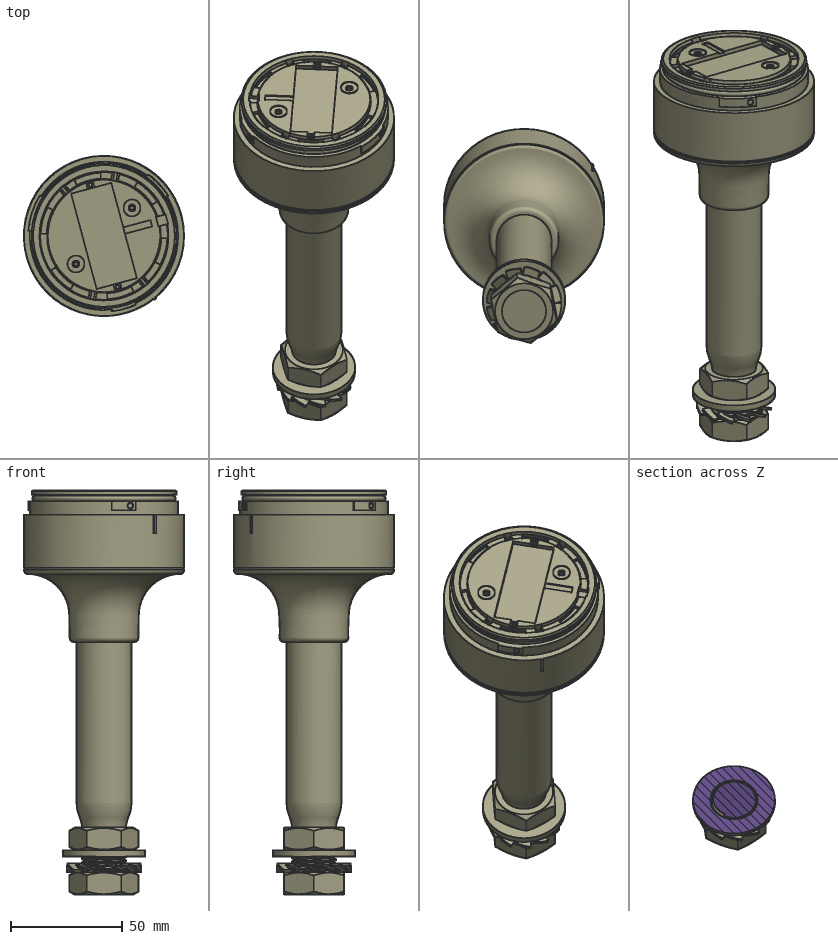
import cadquery as cq
import math


NUT_HEIGHT = 10.2
UPPER_NUT_BASE = 20.0
WASHER_THICKNESS = 2.9
WASHER_BASE = UPPER_NUT_BASE - WASHER_THICKNESS
STEM_NECK_TOP = UPPER_NUT_BASE + NUT_HEIGHT
STEM_TAPER_MIDDLE = 35.4
STEM_TAPER_TOP = 41.2
COLLAR_BASE = 113.4
COLLAR_TOP = 125.5
FLARE_TOP = 143.9
SHELL_TOP = 170.6
BAND_TOP = 176.7
BEAD_TOP = 179.0
LIP_BASE = 179.6
LIP_TOP = 181.0
TOTAL_HEIGHT = 181.6

THREAD_DIAMETER = 19.8
THREAD_ROOT_DIAMETER = 17.3
THREAD_PITCH = 1.814
THREAD_GROOVE_WIDTH = 1.67
THREAD_CLEARANCE = 0.1
THREAD_OVERRUN = 1.3
NUT_SIDES = 6
NUT_WIDTH = 27.0
NUT_FACE_DIAMETER = 26.0
NUT_CHAMFER_ANGLE = 30.0
WASHER_DIAMETER = 37.0
WASHER_BORE = 21.0

LOCK_DIAMETER = 33.6
LOCK_RING_DIAMETER = 26.5
LOCK_THICKNESS = 1.0
TOOTH_COUNT = 12
TOOTH_WIDTH = 7.6
TOOTH_TWIST = 24.0
TOOTH_PHASE = 24.0
TOOTH_ROOT_RADIUS = 12.75

STEM_DIAMETER = 24.8
STEM_TAPER_MIDDLE_RADIUS = 11.2
STEM_NECK_RADIUS = THREAD_DIAMETER / 2

SHELL_DIAMETER = 72.0
COLLAR_RADIUS = 15.7
COLLAR_BASE_RADIUS = 15.5
COLLAR_FILLET = 2.0
FLARE_RADIUS = FLARE_TOP - COLLAR_TOP
SHELL_FILLET = 1.8
SEAM_BASE = 145.9
SEAM_WIDTH = 0.9
SEAM_DEPTH = 0.3
BAND_RADIUS = 33.3
NECK_DIAMETER = 62.5
RIM_RADIUS = 31.75
BEAD_RADIUS = 32.2
LIP_DIAMETER = 65.1

RIB_ANGLE = -51.0
RIB_WIDTH = 1.1
RIB_HEIGHT = 0.5
RIB_LENGTH = 8.4

LUG_SPANS = ((32, 54), (147.5, 176), (-84, -65))
LUG_RADIUS = 34.0
LUG_HEIGHT = 4.2
DIMPLE_DIAMETER = 2.6
DIMPLE_DEPTH = 0.4
DIMPLE_INSET_ANGLE = 4.5

PLATE_RADIUS = 25.2
CHANNEL_RADIUS = 29.0
CHANNEL_DEPTH = 1.5
CHANNEL_WALL_SLOPE = 0.4
POCKET_COUNT = 6
POCKET_START = 33.0
POCKET_SPAN = 25.0
POCKET_INNER_RADIUS = 25.8
POCKET_OUTER_RADIUS = 28.4
POCKET_DEPTH = 3.0
CLIP_SPREAD = 25.8
CLIP_WIDTH = 3.2
CLIP_DEPTH = 3.0
CLIP_SLOT_WIDTH = 1.4
CLIP_SLOT_DEPTH = 5.0
KEY_WIDTH = 4.4
KEY_INNER_RADIUS = 24.7
KEY_OUTER_RADIUS = 29.2

DISPLAY_ANGLE = 15.0
DISPLAY_WIDTH = 18.7
DISPLAY_LENGTH = 44.3
DISPLAY_DEPTH = 2.0
SLIT_END = 22.0
SLIT_WIDTH = 3.0
SLIT_DEPTH = 0.6
END_NOTCH_WIDTH = 3.1
END_NOTCH_DEPTH = 1.0
END_SLOT_INNER_RADIUS = 22.9
END_SLOT_OUTER_RADIUS = 24.5
END_SLOT_WIDTH = 1.4
END_SLOT_DEPTH = 3.0
SCREW_RADIUS = 17.8
SCREW_ANGLES = (45, 225)
SCREW_HOLE_DIAMETER = 3.1
SCREW_HOLE_DEPTH = 1.0
SCREW_CORE_DIAMETER = 1.8
SCREW_CORE_DEPTH = 3.0
SCREW_SEAT_DIAMETER = 7.6
SCREW_SEAT_DEPTH = 0.4


def about_z(body, angle):
    return body.rotate((0, 0, 0), (0, 0, 1), angle)


def tube(base, height, outer_radius, inner_radius):
    return cq.Workplane(origin=(0, 0, base)).circle(outer_radius).circle(inner_radius).extrude(height)


def ring_sector(base, height, outer_radius, inner_radius, start_angle, end_angle):
    """A block bounded by two arcs about Z and two radial faces."""
    def at(radius, angle):
        return (radius * math.cos(math.radians(angle)), radius * math.sin(math.radians(angle)))

    middle = (start_angle + end_angle) / 2
    return (
        cq.Workplane(origin=(0, 0, base))
        .moveTo(*at(inner_radius, start_angle))
        .lineTo(*at(outer_radius, start_angle))
        .threePointArc(at(outer_radius, middle), at(outer_radius, end_angle))
        .lineTo(*at(inner_radius, end_angle))
        .threePointArc(at(inner_radius, middle), at(inner_radius, start_angle))
        .close()
        .extrude(height)
    )


def radial_block(inner_radius, outer_radius, width, base, height, angle):
    """A straight block whose length lies along the radius at the given angle."""
    length = outer_radius - inner_radius
    block = cq.Workplane().box(length, width, height, centered=(False, True, False))
    return about_z(block.translate((inner_radius, 0, base)), angle)


def sunk_block(inner_radius, outer_radius, width, depth, angle):
    """A radial block reaching down from the top of the head."""
    return radial_block(inner_radius, outer_radius, width, TOTAL_HEIGHT - depth, depth, angle)


def head_outline():
    shell_radius = SHELL_DIAMETER / 2
    neck_radius = NECK_DIAMETER / 2
    lip_radius = LIP_DIAMETER / 2
    flare_center = COLLAR_RADIUS + FLARE_RADIUS
    flare_middle = FLARE_RADIUS * math.sqrt(0.5)
    profile = (
        cq.Workplane("XZ")
        .moveTo(0, COLLAR_BASE)
        .lineTo(COLLAR_BASE_RADIUS - COLLAR_FILLET, COLLAR_BASE)
        .radiusArc((COLLAR_BASE_RADIUS, COLLAR_BASE + COLLAR_FILLET), -COLLAR_FILLET)
        .lineTo(COLLAR_RADIUS, COLLAR_TOP)
        .threePointArc((flare_center - flare_middle, COLLAR_TOP + flare_middle), (flare_center, FLARE_TOP))
        .lineTo(shell_radius - SHELL_FILLET, FLARE_TOP)
        .radiusArc((shell_radius, FLARE_TOP + SHELL_FILLET), -SHELL_FILLET)
        .lineTo(shell_radius, SHELL_TOP)
        .lineTo(BAND_RADIUS, SHELL_TOP)
        .lineTo(BAND_RADIUS, BAND_TOP)
        .lineTo(neck_radius, BAND_TOP)
        .threePointArc((BEAD_RADIUS, (BAND_TOP + BEAD_TOP) / 2), (neck_radius, BEAD_TOP))
        .lineTo(neck_radius, LIP_BASE)
        .lineTo(lip_radius, LIP_BASE)
        .lineTo(lip_radius, LIP_TOP)
        .lineTo(RIM_RADIUS, TOTAL_HEIGHT)
        .lineTo(0, TOTAL_HEIGHT)
        .close()
    )
    return profile.revolve(360, (0, 0, 0), (0, 1, 0))


def cut_seam(head):
    shell_radius = SHELL_DIAMETER / 2
    return head.cut(tube(SEAM_BASE, SEAM_WIDTH, shell_radius + SEAM_DEPTH, shell_radius - SEAM_DEPTH))


def add_rib(head):
    shell_radius = SHELL_DIAMETER / 2
    rib = radial_block(
        BAND_RADIUS, shell_radius + RIB_HEIGHT, RIB_WIDTH, SHELL_TOP - RIB_LENGTH, RIB_LENGTH, RIB_ANGLE
    )
    return head.union(rib)


def add_lugs(head):
    lug_base = BAND_TOP - LUG_HEIGHT
    dimple_height = lug_base + LUG_HEIGHT / 2
    for start, end in LUG_SPANS:
        head = head.union(ring_sector(lug_base, LUG_HEIGHT, LUG_RADIUS, NECK_DIAMETER / 2, start, end))
        dimple = (
            cq.Workplane("YZ", origin=(LUG_RADIUS - DIMPLE_DEPTH, 0, dimple_height))
            .circle(DIMPLE_DIAMETER / 2)
            .extrude(2 * DIMPLE_DEPTH)
        )
        head = head.cut(about_z(dimple, end - DIMPLE_INSET_ANGLE))
    return head


def cut_channel(head):
    floor = TOTAL_HEIGHT - CHANNEL_DEPTH
    channel = (
        cq.Workplane("XZ")
        .moveTo(PLATE_RADIUS, TOTAL_HEIGHT)
        .lineTo(CHANNEL_RADIUS, TOTAL_HEIGHT)
        .lineTo(CHANNEL_RADIUS - CHANNEL_WALL_SLOPE, floor)
        .lineTo(PLATE_RADIUS + CHANNEL_WALL_SLOPE, floor)
        .close()
        .revolve(360, (0, 0, 0), (0, 1, 0))
    )
    head = head.cut(channel)
    for index in range(POCKET_COUNT):
        start = POCKET_START + index * 360 / POCKET_COUNT
        pocket = ring_sector(
            TOTAL_HEIGHT - POCKET_DEPTH,
            POCKET_DEPTH,
            POCKET_OUTER_RADIUS,
            POCKET_INNER_RADIUS,
            start,
            start + POCKET_SPAN,
        )
        head = head.cut(pocket)
    for display_end in (90, 270):
        for side in (-1, 1):
            angle = DISPLAY_ANGLE + display_end + side * CLIP_SPREAD
            head = head.cut(sunk_block(PLATE_RADIUS, CHANNEL_RADIUS, CLIP_WIDTH, CLIP_DEPTH, angle))
            head = head.cut(sunk_block(PLATE_RADIUS, CHANNEL_RADIUS, CLIP_SLOT_WIDTH, CLIP_SLOT_DEPTH, angle))
    return head.cut(sunk_block(KEY_INNER_RADIUS, KEY_OUTER_RADIUS, KEY_WIDTH, POCKET_DEPTH, DISPLAY_ANGLE))


def cut_display(head):
    window = cq.Workplane().box(DISPLAY_WIDTH, DISPLAY_LENGTH, DISPLAY_DEPTH, centered=(True, True, False))
    head = head.cut(about_z(window.translate((0, 0, TOTAL_HEIGHT - DISPLAY_DEPTH)), DISPLAY_ANGLE))
    head = head.cut(sunk_block(0, SLIT_END, SLIT_WIDTH, SLIT_DEPTH, DISPLAY_ANGLE))
    for display_end in (90, 270):
        angle = DISPLAY_ANGLE + display_end
        head = head.cut(sunk_block(0, PLATE_RADIUS, END_NOTCH_WIDTH, END_NOTCH_DEPTH, angle))
        slot = sunk_block(END_SLOT_INNER_RADIUS, END_SLOT_OUTER_RADIUS, END_SLOT_WIDTH, END_SLOT_DEPTH, angle)
        head = head.cut(slot)
    return head


def cut_screw_holes(head):
    for angle in SCREW_ANGLES:
        x = SCREW_RADIUS * math.cos(math.radians(angle))
        y = SCREW_RADIUS * math.sin(math.radians(angle))
        top = cq.Workplane(origin=(x, y, TOTAL_HEIGHT))
        head = head.cut(top.circle(SCREW_SEAT_DIAMETER / 2).extrude(-SCREW_SEAT_DEPTH))
        head = head.cut(top.circle(SCREW_HOLE_DIAMETER / 2).extrude(-SCREW_HOLE_DEPTH))
        head = head.cut(top.circle(SCREW_CORE_DIAMETER / 2).extrude(-SCREW_CORE_DEPTH))
    return head


def make_head():
    head = add_lugs(add_rib(cut_seam(head_outline())))
    return cut_screw_holes(cut_display(cut_channel(head)))


def thread_groove(base, height):
    """A V-shaped helical groove, cut a little wider than the stem so it opens at the surface."""
    radius = THREAD_DIAMETER / 2
    surface_radius = radius + THREAD_CLEARANCE
    half_width = THREAD_GROOVE_WIDTH / 2
    path = cq.Wire.makeHelix(THREAD_PITCH, height, radius).translate(cq.Vector(0, 0, base))
    profile = (
        cq.Workplane("XZ", origin=(0, 0, base))
        .moveTo(surface_radius, -half_width)
        .lineTo(surface_radius, half_width)
        .lineTo(THREAD_ROOT_DIAMETER / 2, 0)
        .close()
    )
    return profile.sweep(cq.Workplane(obj=path), isFrenet=True)


def make_stem():
    stem_radius = STEM_DIAMETER / 2
    stem = (
        cq.Workplane("XZ")
        .lineTo(0, COLLAR_BASE)
        .lineTo(stem_radius, COLLAR_BASE)
        .lineTo(stem_radius, STEM_TAPER_TOP)
        .tangentArcPoint((STEM_TAPER_MIDDLE_RADIUS, STEM_TAPER_MIDDLE), relative=False)
        .tangentArcPoint((STEM_NECK_RADIUS, STEM_NECK_TOP), relative=False)
        .lineTo(STEM_NECK_RADIUS, 0)
        .close()
        .revolve(360, (0, 0, 0), (0, 1, 0))
    )
    groove_base = NUT_HEIGHT - THREAD_OVERRUN
    groove_height = WASHER_BASE + THREAD_OVERRUN - groove_base
    return stem.cut(thread_groove(groove_base, groove_height))


def make_nut(base):
    corner_diameter = NUT_WIDTH / math.cos(math.pi / NUT_SIDES)
    bevel_width = (corner_diameter - NUT_FACE_DIAMETER) / 2
    bevel_drop = bevel_width * math.tan(math.radians(NUT_CHAMFER_ANGLE))
    hexagon = cq.Workplane().polygon(NUT_SIDES, corner_diameter).extrude(NUT_HEIGHT)
    bevelled_blank = (
        cq.Workplane()
        .circle(corner_diameter / 2)
        .extrude(NUT_HEIGHT)
        .faces("<Z or >Z")
        .chamfer(bevel_drop, bevel_width)
    )
    bore = cq.Workplane().circle(THREAD_DIAMETER / 2).extrude(NUT_HEIGHT)
    return hexagon.intersect(bevelled_blank).cut(bore).translate((0, 0, base))


def make_lock_washer():
    twist = math.radians(TOOTH_TWIST)
    tooth_height = TOOTH_WIDTH * math.sin(twist) + LOCK_THICKNESS * math.cos(twist)
    middle = NUT_HEIGHT + tooth_height / 2
    lock_radius = LOCK_DIAMETER / 2
    washer = tube(middle - LOCK_THICKNESS / 2, LOCK_THICKNESS, LOCK_RING_DIAMETER / 2, WASHER_BORE / 2)
    tooth = (
        cq.Workplane("YZ")
        .rect(TOOTH_WIDTH, LOCK_THICKNESS)
        .extrude(lock_radius)
        .rotate((0, 0, 0), (1, 0, 0), -TOOTH_TWIST)
        .translate((0, 0, middle))
        .intersect(tube(NUT_HEIGHT, tooth_height, lock_radius, TOOTH_ROOT_RADIUS))
    )
    for index in range(TOOTH_COUNT):
        washer = washer.union(about_z(tooth, TOOTH_PHASE + index * 360 / TOOTH_COUNT))
    return washer


head = make_head()
stem = make_stem()
upper_nut = make_nut(UPPER_NUT_BASE)
lower_nut = make_nut(0)
flat_washer = tube(WASHER_BASE, WASHER_THICKNESS, WASHER_DIAMETER / 2, WASHER_BORE / 2)
lock_washer = make_lock_washer()

result = cq.Compound.makeCompound(
    [head.val(), stem.val(), upper_nut.val(), flat_washer.val(), lock_washer.val(), lower_nut.val()]
)